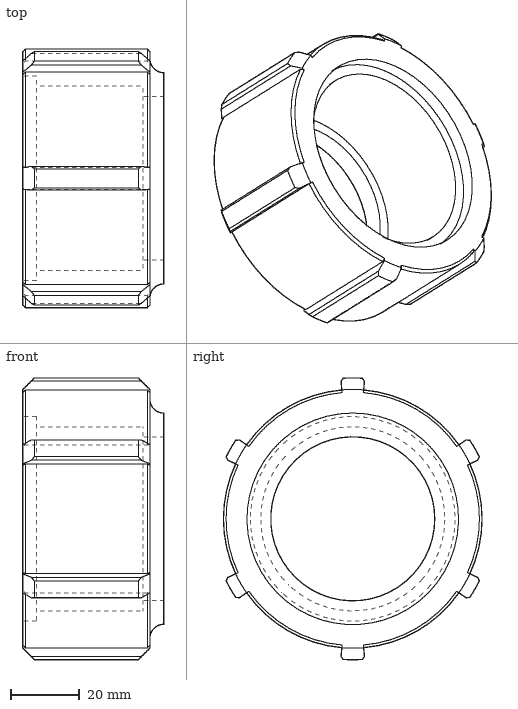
import cadquery as cq
import math

total_length = 41.0
collar_length = 4.0
body_length = total_length - collar_length
body_radius = 37.62
body_chamfer = 0.8

collar_rim_radius = 30.75
collar_root_radius = collar_rim_radius + collar_length

mouth_radius = 59.5 / 2
mouth_depth = 4.0
bore_radius = 53.55 / 2
lip_radius = 47.6 / 2
lip_thickness = 6.0

rib_count = 6
rib_tip_radius = 41.0
rib_half_angle = math.radians(4.9)
rib_edge_drop = 1.0
rib_edge_inset = 0.65
rib_end_chamfer = rib_tip_radius - body_radius
rib_root_height = (mouth_radius + body_radius) / 2

front_x = -total_length / 2


def make_ring():
    """Revolve the outer profile, with the collar's concave arc, about X."""
    arc_reach = collar_length * math.sqrt(0.5)
    arc_middle = (total_length - arc_reach, collar_root_radius - arc_reach)
    profile = (
        cq.Workplane("XZ")
        .moveTo(0, 0)
        .lineTo(0, body_radius - body_chamfer)
        .lineTo(body_chamfer, body_radius)
        .lineTo(body_length - body_chamfer, body_radius)
        .lineTo(body_length, body_radius - body_chamfer)
        .lineTo(body_length, collar_root_radius)
        .threePointArc(arc_middle, (total_length, collar_rim_radius))
        .lineTo(total_length, 0)
        .close()
    )
    return profile.revolve(360, (0, 0, 0), (1, 0, 0))


def make_rib():
    """Build the top rib: bevelled long edges and ends sloping down to the body."""
    shoulder_height = rib_tip_radius - rib_edge_drop
    root_half_width = rib_root_height * math.tan(rib_half_angle)
    shoulder_half_width = shoulder_height * math.tan(rib_half_angle)
    tip_half_width = shoulder_half_width - rib_edge_inset
    tip_edge_height = math.sqrt(rib_tip_radius**2 - tip_half_width**2)
    section = (
        cq.Workplane("YZ")
        .moveTo(-root_half_width, rib_root_height)
        .lineTo(-shoulder_half_width, shoulder_height)
        .lineTo(-tip_half_width, tip_edge_height)
        .threePointArc((0, rib_tip_radius), (tip_half_width, tip_edge_height))
        .lineTo(shoulder_half_width, shoulder_height)
        .lineTo(root_half_width, rib_root_height)
        .close()
        .extrude(body_length)
    )
    end_envelope = (
        cq.Workplane("XZ")
        .moveTo(0, 0)
        .lineTo(0, body_radius)
        .lineTo(rib_end_chamfer, rib_tip_radius)
        .lineTo(body_length - rib_end_chamfer, rib_tip_radius)
        .lineTo(body_length, body_radius)
        .lineTo(body_length, 0)
        .close()
        .revolve(360, (0, 0, 0), (1, 0, 0))
    )
    return section.intersect(end_envelope)


def make_bore():
    """Build the stepped hole: wide mouth, main bore and the opening in the rear lip."""
    mouth = cq.Workplane("YZ").circle(mouth_radius).extrude(mouth_depth)
    bore = cq.Workplane("YZ").circle(bore_radius).extrude(total_length - lip_thickness)
    lip_opening = cq.Workplane("YZ").circle(lip_radius).extrude(total_length)
    return mouth.union(bore).union(lip_opening)


ring = make_ring()
rib = make_rib()
for index in range(rib_count):
    angle = index * 360 / rib_count
    ring = ring.union(rib.rotate((0, 0, 0), (1, 0, 0), angle))

result = ring.cut(make_bore()).translate((front_x, 0, 0))